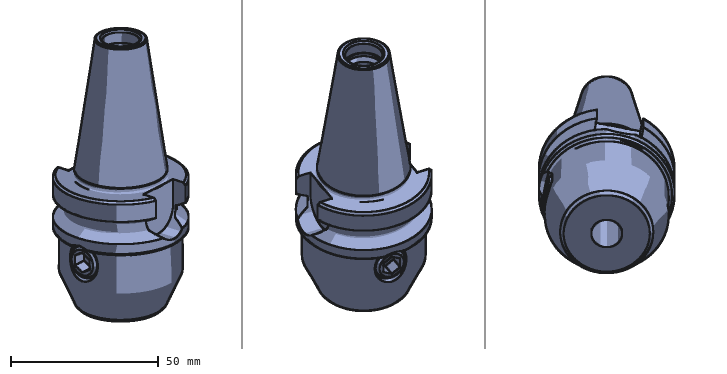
import cadquery as cq
import math

total_height = 98.4
gauge_z = 50.0
collar_top_z = 47.8
body_bottom_z = 13.0

flange_diameter = 46.0
flange_radius = flange_diameter / 2
groove_radius = 19.0
body_radius = 21.0
nose_radius = 15.7
gauge_radius = 15.8
undercut_radius = 15.4
taper_ratio = 7 / 24
edge_chamfer = 0.9
nose_chamfer = 1.2

groove_top_z = 38.3
groove_bottom_z = 34.6
flank_height = (flange_radius - groove_radius) * math.tan(math.radians(30))
flange_bottom_z = 27.8
blend_radius = 0.6

bore_radius = 5.2
pilot_radius = 6.3
pilot_depth = 4.7
pilot_chamfer = 0.7
relief_radius = 6.6
relief_height = 1.5

keyway_floor_x = 16.1
keyway_width = 16.1
keyway_bottom_z = 30.5

screw_z = 22.6
screw_hole_radius = 5.9
screw_radius = 5.6
screw_chamfer = 1.0
screw_seat_depth = 2.5
countersink_radius = 6.9
hex_across_flats = 6.3
hex_depth = 4.9

scoop_depth = 0.84
scoop_height = flange_bottom_z - blend_radius - body_bottom_z


def taper_radius(z):
    return gauge_radius - (z - gauge_z) * taper_ratio / 2


def turned_body():
    tip_chamfer = 0.4
    undercut_top_z = 49.5
    undercut_blend_radius = 1.0
    profile = [
        (0, 0),
        (nose_radius - nose_chamfer, 0),
        (nose_radius, nose_chamfer),
        (body_radius, body_bottom_z),
        (body_radius, flange_bottom_z),
        (flange_radius - edge_chamfer, flange_bottom_z),
        (flange_radius, flange_bottom_z + edge_chamfer),
        (flange_radius, groove_bottom_z - flank_height),
        (groove_radius, groove_bottom_z),
        (groove_radius, groove_top_z),
        (flange_radius, groove_top_z + flank_height),
        (flange_radius, collar_top_z - edge_chamfer),
        (flange_radius - edge_chamfer, collar_top_z),
        (undercut_radius, collar_top_z),
        (undercut_radius, undercut_top_z),
        (gauge_radius, gauge_z),
        (taper_radius(total_height - tip_chamfer), total_height - tip_chamfer),
        (taper_radius(total_height) - tip_chamfer, total_height),
        (0, total_height),
    ]
    turned = cq.Workplane("XZ").polyline(profile).close().revolve(360, (0, 0), (0, 1))
    blended_heights = (body_bottom_z, flange_bottom_z, groove_bottom_z, groove_top_z)
    for z in blended_heights:
        turned = blend_inner_circle(turned, z, blend_radius)
    return blend_inner_circle(turned, collar_top_z, undercut_blend_radius)


def blend_inner_circle(turned, z, radius):
    """Round the smallest full circle of the turned body at height z."""
    tolerance = 0.01
    reach = flange_radius + 1
    band = cq.selectors.BoxSelector(
        (-reach, -reach, z - tolerance), (reach, reach, z + tolerance), boundingbox=True
    )
    circles = turned.edges(band).vals()
    inner_circle = min(circles, key=lambda edge: edge.radius())
    return turned.newObject([inner_circle]).fillet(radius)


def central_bore():
    pilot_bottom_z = total_height - pilot_depth
    relief_bottom_z = pilot_bottom_z - relief_height
    cone_height = relief_radius - bore_radius
    profile = [
        (0, 0),
        (bore_radius, 0),
        (bore_radius, relief_bottom_z - cone_height),
        (relief_radius, relief_bottom_z),
        (relief_radius, pilot_bottom_z),
        (pilot_radius, pilot_bottom_z),
        (pilot_radius, total_height - pilot_chamfer),
        (pilot_radius + pilot_chamfer, total_height),
        (0, total_height),
    ]
    return cq.Workplane("XZ").polyline(profile).close().revolve(360, (0, 0), (0, 1))


def keyway(side):
    half_width = keyway_width / 2
    arc_center_z = keyway_bottom_z + half_width
    return (
        cq.Workplane("YZ", origin=(side * keyway_floor_x, 0, 0))
        .moveTo(-half_width, collar_top_z)
        .lineTo(-half_width, arc_center_z)
        .threePointArc((0, keyway_bottom_z), (half_width, arc_center_z))
        .lineTo(half_width, collar_top_z)
        .close()
        .extrude(side * (flange_radius - keyway_floor_x + 1))
    )


def turned_about_screw_axis(profile):
    """Revolve (radius, distance from the part axis) points about the screw axis."""
    return (
        cq.Workplane("XY", origin=(0, 0, screw_z))
        .polyline([(radius, -distance) for radius, distance in profile])
        .close()
        .revolve(360, (0, 0), (0, 1))
    )


def screw_hole():
    seat = body_radius - screw_seat_depth
    cone_start = body_radius - (countersink_radius - screw_hole_radius)
    return turned_about_screw_axis([
        (0, seat),
        (screw_hole_radius, seat),
        (screw_hole_radius, cone_start),
        (countersink_radius, body_radius),
        (countersink_radius, flange_radius + 1),
        (0, flange_radius + 1),
    ])


def clamping_screw():
    seat = body_radius - screw_seat_depth
    screw = turned_about_screw_axis([
        (0, seat),
        (screw_radius, seat),
        (screw_radius, body_radius - screw_chamfer),
        (screw_radius - screw_chamfer, body_radius),
        (0, body_radius),
    ])
    hex_across_corners = hex_across_flats / math.cos(math.radians(30))
    hex_socket = (
        cq.Workplane("XZ", origin=(0, -body_radius, screw_z))
        .transformed(rotate=(0, 0, 90))
        .polygon(6, hex_across_corners)
        .extrude(-hex_depth)
    )
    return screw, hex_socket


def rear_scoop():
    scoop_radius = (scoop_height**2 / 4 + scoop_depth**2) / (2 * scoop_depth)
    axis_y = body_radius - scoop_depth + scoop_radius
    axis_z = body_bottom_z + scoop_height / 2
    cutter = cq.Workplane("YZ").center(axis_y, axis_z).circle(scoop_radius).extrude(body_radius, both=True)
    body_band = (
        cq.Workplane("XY", origin=(0, 0, body_bottom_z))
        .circle(body_radius)
        .extrude(scoop_height)
    )
    return cutter.intersect(body_band)


result = turned_body().cut(central_bore())
for side in (-1, 1):
    result = result.cut(keyway(side))

screw_body, screw_socket = clamping_screw()
result = result.cut(screw_hole()).union(screw_body).cut(screw_socket)
result = result.cut(rear_scoop())